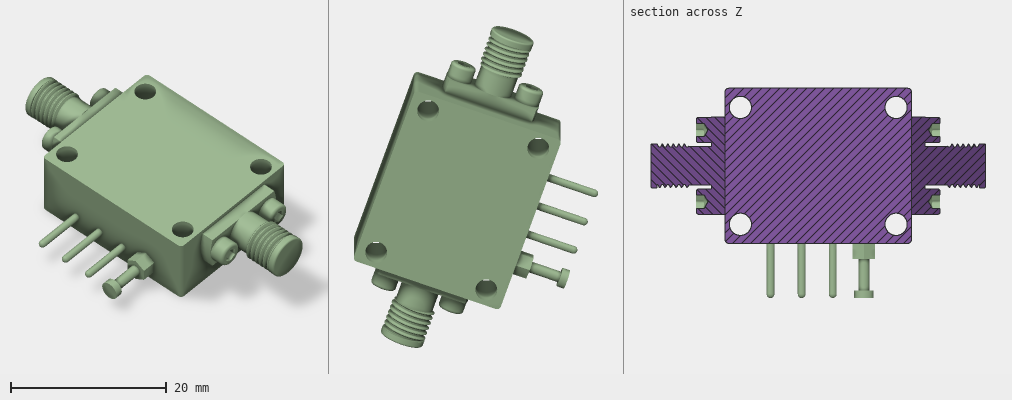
import cadquery as cq
total_length = 43.0
housing_length = 24.0
housing_width = 20.0
housing_height = 9.4
housing_corner_radius = 0.5
mount_hole_diameter = 2.8
mount_hole_pitch_x = 20.0
mount_hole_pitch_y = 15.0

connector_axis_height = 6.4
connector_reach = (total_length - housing_length) / 2
flange_thickness = 1.7
flange_height = 4.75
flange_length = 12.6
flange_end_bulge = 0.4
barrel_diameter = 5.0
collar_diameter = 5.7
collar_length = 0.85
collar_edge_radius = 0.2
thread_diameter = 5.68
thread_pitch = 0.705
thread_root_diameter = 4.9
thread_turns = 7
thread_start = 0.25
thread_end = 4.9
thread_ridge_width = 0.6
thread_crest_width = 0.1
thread_root_overlap = 0.1

screw_pitch = 9.2
screw_head_diameter = 3.3
screw_head_height = 1.98
screw_head_edge_radius = 0.365
socket_corner_diameter = 1.9
socket_depth = 1.0
socket_tip_depth = 0.5

lead_height = 2.5
lead_pitch = 4.0
lead_reach = 7.0
pin_count = 3
pin_diameter = 1.0
terminal_hex_corner_diameter = 3.3
terminal_hex_thickness = 1.98
terminal_post_diameter = 1.4
terminal_head_diameter = 2.5
terminal_head_thickness = 1.0

row_start = -6.1
housing_front = -housing_width / 2


def make_housing():
    """Block with rounded vertical edges and four mounting holes through it."""
    block = cq.Workplane("XY").box(
        housing_length, housing_width, housing_height, centered=(True, True, False)
    )
    block = block.edges("|Z").fillet(housing_corner_radius)
    return (
        block.faces(">Z").workplane(origin=(0, 0, housing_height))
        .rarray(mount_hole_pitch_x, mount_hole_pitch_y, 2, 2)
        .hole(mount_hole_diameter)
    )


def make_flange():
    """Flat-sided plate whose two short ends are bowed outward."""
    half_height = flange_height / 2
    half_length = flange_length / 2
    corner = half_length - flange_end_bulge
    return (
        cq.Workplane("XY")
        .moveTo(-half_height, -corner)
        .threePointArc((0, -half_length), (half_height, -corner))
        .lineTo(half_height, corner)
        .threePointArc((0, half_length), (-half_height, corner))
        .close()
        .extrude(flange_thickness)
    )


def make_thread():
    """Threaded length: a core with a helical ridge, cut square at both ends."""
    zone_start = connector_reach - thread_end
    zone_length = thread_end - collar_length
    zone = cq.Workplane("XY", origin=(0, 0, zone_start))
    core = zone.circle(thread_root_diameter / 2).extrude(zone_length)

    helix_length = thread_turns * thread_pitch
    root_radius = thread_root_diameter / 2 - thread_root_overlap
    crest_radius = thread_diameter / 2
    half_ridge = thread_ridge_width / 2
    half_crest = thread_crest_width / 2
    helix = cq.Wire.makeHelix(thread_pitch, helix_length, root_radius)
    ridge = (
        cq.Workplane("XZ")
        .moveTo(root_radius, -half_ridge)
        .lineTo(crest_radius, -half_crest)
        .lineTo(crest_radius, half_crest)
        .lineTo(root_radius, half_ridge)
        .close()
        .sweep(cq.Workplane(obj=helix), isFrenet=True)
        .translate((0, 0, connector_reach - thread_start - helix_length))
    )
    return core.union(ridge.intersect(zone.circle(collar_diameter).extrude(zone_length)))


def make_barrel():
    """Plain barrel, threaded length and round-edged end collar."""
    plain_barrel = (
        cq.Workplane("XY", origin=(0, 0, flange_thickness))
        .circle(barrel_diameter / 2)
        .extrude(connector_reach - thread_end - flange_thickness)
    )
    collar = (
        cq.Workplane("XY", origin=(0, 0, connector_reach - collar_length))
        .circle(collar_diameter / 2)
        .extrude(collar_length)
        .faces(">Z").edges().fillet(collar_edge_radius)
    )
    return plain_barrel.union(make_thread()).union(collar)


def make_screw_head():
    """Round-edged cap head with a hexagonal socket whose floor is a cone reaching its corners."""
    head = (
        cq.Workplane("XY")
        .circle(screw_head_diameter / 2)
        .extrude(screw_head_height)
        .faces(">Z").edges().fillet(screw_head_edge_radius)
    )
    socket_bottom = screw_head_height - socket_depth - socket_tip_depth
    hexagon = (
        cq.Workplane("XY", origin=(0, 0, socket_bottom))
        .polygon(6, socket_corner_diameter)
        .extrude(socket_depth + socket_tip_depth)
    )
    drilled_radius = socket_corner_diameter / 2
    drilled_shape = (
        cq.Workplane("XZ")
        .moveTo(0, socket_bottom)
        .lineTo(drilled_radius, socket_bottom + socket_tip_depth)
        .lineTo(drilled_radius, screw_head_height)
        .lineTo(0, screw_head_height)
        .close()
        .revolve(360, (0, 0, 0), (0, 1, 0))
    )
    return head.cut(hexagon.intersect(drilled_shape))


def make_connector(end):
    """Connector on the -X end for end = -1; its mirror image on the +X end for end = 1."""
    connector = make_flange().union(make_barrel())
    for side in (-1, 1):
        head = make_screw_head().translate((0, side * screw_pitch / 2, flange_thickness))
        connector = connector.union(head)
    connector = (
        connector.rotate((0, 0, 0), (0, 1, 0), -90)
        .translate((-housing_length / 2, 0, connector_axis_height))
    )
    return connector if end < 0 else connector.mirror("YZ")


def lead_plane(index):
    """Workplane on the -Y housing side, facing outward, at one place in the row of leads."""
    return cq.Workplane("XZ", origin=(row_start + index * lead_pitch, housing_front, lead_height))


def make_pin(index):
    """Straight pin with a rounded tip."""
    radius = pin_diameter / 2
    shaft_length = lead_reach - radius
    tip = lead_plane(index).workplane(offset=shaft_length).sphere(radius)
    return lead_plane(index).circle(radius).extrude(shaft_length).union(tip)


def make_terminal():
    """Hexagonal base, slim post and flat round head."""
    plane = lead_plane(pin_count)
    base = (
        plane.transformed(rotate=(0, 0, 90))
        .polygon(6, terminal_hex_corner_diameter)
        .extrude(terminal_hex_thickness)
    )
    post = plane.circle(terminal_post_diameter / 2).extrude(lead_reach)
    head = (
        plane.workplane(offset=lead_reach - terminal_head_thickness)
        .circle(terminal_head_diameter / 2)
        .extrude(terminal_head_thickness)
    )
    return base.union(post).union(head)


housing = make_housing().solids()
connectors = [make_connector(end).solids() for end in (-1, 1)]
pins = [make_pin(index).solids() for index in range(pin_count)]
terminal = make_terminal().solids()

result = cq.Compound.makeCompound([
    housing.val(),
    *[connector.val() for connector in connectors],
    *[pin.val() for pin in pins],
    terminal.val(),
])